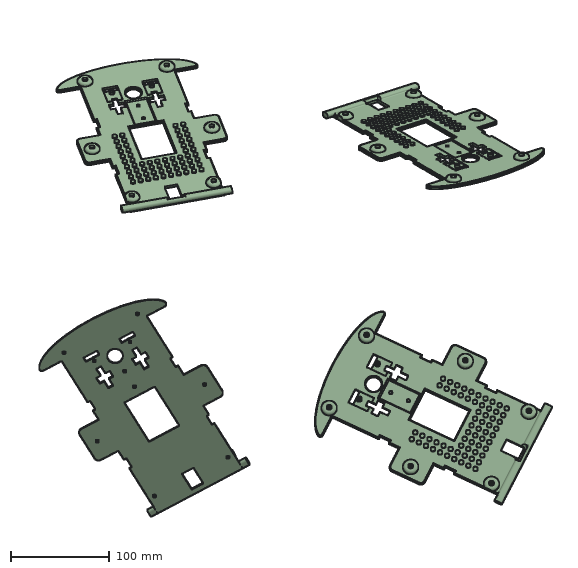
import cadquery as cq

LENGTH = 221.0
PLATE_THICKNESS = 3.0
TOTAL_HEIGHT = 6.0
PLATE_HALF_WIDTH = 50.0
EDGE_CHAMFER = 1.0

BUMPER_DEPTH = 24.8
BUMPER_HALF_WIDTH = 75.0
BUMPER_TIP_RADIUS = 2.9

TAB_CENTER_X = 120.0
TAB_LENGTH = 39.8
TAB_SPAN = 150.0
TAB_CORNER_RADIUS = 4.9

NOTCH_CENTERS_X = (83.0, 157.0)
NOTCH_LENGTH = 11.0
NOTCH_DEPTH = 2.9

WINDOW_CENTER_X = 121.8
WINDOW_LENGTH = 50.2
WINDOW_WIDTH = 35.5
ROUND_HOLE_X = 47.0
ROUND_HOLE_DIAMETER = 16.0
REAR_WINDOW_CENTER_X = 204.5
REAR_WINDOW_LENGTH = 20.1
REAR_WINDOW_WIDTH = 13.5

SEAT_Y = 21.0
SEAT_WIDTH = 15.7
SEAT_START_X = 32.7
SEAT_END_X = 54.1
SEAT_RECESS = 1.0
SLOT_LENGTH = 5.0
POST_X = 41.0
POST_DIAMETER = 5.3
POST_HOLE_DIAMETER = 2.9
CROSS_CENTER_X = 62.3
CROSS_LENGTH = 24.8
CROSS_BAR_WIDTH = 5.5
CROSS_UPRIGHT_LENGTH = 7.3

TRAY_CENTER_X = 76.5
TRAY_FLOOR_LENGTH = 34.7
TRAY_FLOOR_WIDTH = 21.5
TRAY_RIM_LENGTH = 38.2
TRAY_RIM_WIDTH = 23.5
TRAY_DEPTH = 1.0
TRAY_HOLES_X = (66.5, 86.5)
TRAY_HOLE_DIAMETER = 3.3

BOSS_DIAMETER = 16.0
BOSS_HOLE_DIAMETER = 3.3
BOSS_SINK_DIAMETER = 5.3
BOSS_SINK_DEPTH = 2.2
FRONT_BOSS_X = 18.0
REAR_BOSS_X = 201.8
END_BOSS_Y = 43.0
TAB_BOSS_Y = 63.0

PEG_DIAMETER = 4.9
PEG_HEIGHT = 1.44
PEG_TOP = PLATE_THICKNESS + PEG_HEIGHT
PEG_START_X = 108.0
PEG_COUNT = 10
PEG_FIELD_SPAN = 72.0
PEG_PITCH = PEG_FIELD_SPAN / (PEG_COUNT - 1)
PEG_FULL_ROWS_PER_SIDE = 2
PEG_FIRST_REAR_COLUMN = 6

ROD_LENGTH = 115.5
ROD_RADIUS = TOTAL_HEIGHT / 2
ROD_FLAT = 2.9
ROD_START_X = LENGTH - ROD_FLAT - 2 * ROD_RADIUS
ROD_FILLET = 1.3
ROD_RECESS_WIDTH = 18.5
ROD_RECESS_END_X = 217.2
PLATE_END_X = 220.1


def block(x_min, x_max, width, z_min, z_max, y_center=0.0):
    """Axis-aligned box given by its X and Z limits and its width about y_center."""
    return cq.Workplane("XY").box(
        x_max - x_min, width, z_max - z_min, centered=(False, True, False)
    ).translate((x_min, y_center, z_min))


def cylinder(x, y, diameter, z_min, z_max):
    return cq.Workplane("XY", origin=(x, y, z_min)).circle(diameter / 2).extrude(z_max - z_min)


def mirrored(y):
    return (-y, y)


def make_blank():
    """Plate outline with bumper, side tabs and edge notches, before any chamfer."""
    bumper = (
        cq.Workplane("XY", origin=(BUMPER_DEPTH, 0, 0))
        .ellipse(BUMPER_DEPTH, BUMPER_HALF_WIDTH)
        .extrude(PLATE_THICKNESS)
        .intersect(block(0, BUMPER_DEPTH, 2 * BUMPER_HALF_WIDTH, 0, PLATE_THICKNESS))
        .edges("|Z and >X")
        .fillet(BUMPER_TIP_RADIUS)
    )
    tab_start = TAB_CENTER_X - TAB_LENGTH / 2
    tabs = (
        block(tab_start, tab_start + TAB_LENGTH, TAB_SPAN, 0, PLATE_THICKNESS)
        .edges("|Z")
        .fillet(TAB_CORNER_RADIUS)
    )
    body_start = BUMPER_DEPTH / 2
    body = block(body_start, PLATE_END_X, 2 * PLATE_HALF_WIDTH, 0, PLATE_THICKNESS)
    blank = bumper.union(body).union(tabs)
    for x in NOTCH_CENTERS_X:
        for y in mirrored(PLATE_HALF_WIDTH):
            start = x - NOTCH_LENGTH / 2
            blank = blank.cut(
                block(start, start + NOTCH_LENGTH, 2 * NOTCH_DEPTH, 0, PLATE_THICKNESS, y)
            )
    return blank


def cut_chamfered_openings(plate):
    """Main window and round hole, then the chamfer along every top edge."""
    start = WINDOW_CENTER_X - WINDOW_LENGTH / 2
    plate = plate.cut(block(start, start + WINDOW_LENGTH, WINDOW_WIDTH, 0, PLATE_THICKNESS))
    plate = plate.cut(cylinder(ROUND_HOLE_X, 0, ROUND_HOLE_DIAMETER, 0, PLATE_THICKNESS))
    return plate.faces(">Z").edges().chamfer(EDGE_CHAMFER)


def add_rod(plate):
    """Flattened rod across the rear end, recessed in the middle and filleted onto the plate."""
    rod = (
        cq.Workplane("XZ", origin=(0, ROD_LENGTH / 2, 0))
        .moveTo(ROD_START_X + ROD_RADIUS, 0)
        .hLine(ROD_FLAT)
        .threePointArc((LENGTH, ROD_RADIUS), (LENGTH - ROD_RADIUS, TOTAL_HEIGHT))
        .hLine(-ROD_FLAT)
        .threePointArc((ROD_START_X, ROD_RADIUS), (ROD_START_X + ROD_RADIUS, 0))
        .close()
        .extrude(ROD_LENGTH)
    )
    recess = block(ROD_START_X, ROD_RECESS_END_X, ROD_RECESS_WIDTH, PLATE_THICKNESS, TOTAL_HEIGHT)
    joined = plate.union(rod.cut(recess))
    tolerance = 0.02
    seam = cq.selectors.BoxSelector(
        (ROD_START_X - tolerance, -PLATE_HALF_WIDTH, PLATE_THICKNESS - tolerance),
        (ROD_RECESS_END_X + tolerance, PLATE_HALF_WIDTH, PLATE_THICKNESS + tolerance),
    )
    return joined.edges(seam).fillet(ROD_FILLET)


def cut_rear_window(plate):
    start = REAR_WINDOW_CENTER_X - REAR_WINDOW_LENGTH / 2
    return plate.cut(block(start, start + REAR_WINDOW_LENGTH, REAR_WINDOW_WIDTH, 0, PLATE_THICKNESS))


def add_sensor_seat(plate, y):
    floor = PLATE_THICKNESS - SEAT_RECESS
    slot_end = SEAT_START_X + SLOT_LENGTH
    bar_start = CROSS_CENTER_X - CROSS_LENGTH / 2
    upright_start = CROSS_CENTER_X - CROSS_UPRIGHT_LENGTH / 2
    plate = plate.cut(block(SEAT_START_X, SEAT_END_X, SEAT_WIDTH, floor, PLATE_THICKNESS, y))
    plate = plate.cut(block(SEAT_START_X, slot_end, SEAT_WIDTH, 0, PLATE_THICKNESS, y))
    plate = plate.cut(
        block(bar_start, bar_start + CROSS_LENGTH, CROSS_BAR_WIDTH, 0, PLATE_THICKNESS, y)
    )
    plate = plate.cut(
        block(upright_start, upright_start + CROSS_UPRIGHT_LENGTH, SEAT_WIDTH, 0, PLATE_THICKNESS, y)
    )
    plate = plate.union(cylinder(POST_X, y, POST_DIAMETER, 0, PEG_TOP))
    return plate.cut(cylinder(POST_X, y, POST_HOLE_DIAMETER, 0, PEG_TOP))


def cut_board_tray(plate):
    tray = (
        cq.Workplane("XY", origin=(TRAY_CENTER_X, 0, PLATE_THICKNESS - TRAY_DEPTH))
        .rect(TRAY_FLOOR_LENGTH, TRAY_FLOOR_WIDTH)
        .workplane(offset=TRAY_DEPTH)
        .rect(TRAY_RIM_LENGTH, TRAY_RIM_WIDTH)
        .loft(ruled=True)
    )
    plate = plate.cut(tray)
    for x in TRAY_HOLES_X:
        plate = plate.cut(cylinder(x, 0, TRAY_HOLE_DIAMETER, 0, PLATE_THICKNESS))
    return plate


def add_boss(plate, x, y, trimmed):
    """Domed boss with a countersunk hole, cut flush with the long edges when trimmed."""
    dome_radius = TOTAL_HEIGHT - PLATE_THICKNESS
    boss = (
        cylinder(x, y, BOSS_DIAMETER, 0, TOTAL_HEIGHT)
        .faces(">Z")
        .edges()
        .fillet(dome_radius)
    )
    if trimmed:
        boss = boss.intersect(block(0, LENGTH, 2 * PLATE_HALF_WIDTH, 0, TOTAL_HEIGHT))
    plate = plate.union(boss)
    plate = plate.cut(cylinder(x, y, BOSS_HOLE_DIAMETER, 0, TOTAL_HEIGHT))
    sink = cq.Workplane(
        cq.Solid.makeCone(
            BOSS_HOLE_DIAMETER / 2,
            BOSS_SINK_DIAMETER / 2,
            BOSS_SINK_DEPTH,
            pnt=cq.Vector(x, y, TOTAL_HEIGHT - BOSS_SINK_DEPTH),
        )
    )
    return plate.cut(sink)


def peg_positions():
    for row in range(PEG_COUNT):
        full_row = min(row, PEG_COUNT - 1 - row) < PEG_FULL_ROWS_PER_SIDE
        first_column = 0 if full_row else PEG_FIRST_REAR_COLUMN
        y = row * PEG_PITCH - PEG_FIELD_SPAN / 2
        for column in range(first_column, PEG_COUNT):
            yield PEG_START_X + column * PEG_PITCH, y


def add_pegs(plate):
    pegs = (
        cq.Workplane("XY", origin=(0, 0, PLATE_THICKNESS / 2))
        .pushPoints(list(peg_positions()))
        .circle(PEG_DIAMETER / 2)
        .extrude(PEG_TOP - PLATE_THICKNESS / 2)
    )
    return plate.union(pegs)


plate = cut_chamfered_openings(make_blank())
plate = add_rod(plate)
plate = cut_rear_window(plate)
plate = cut_board_tray(plate)
for seat_y in mirrored(SEAT_Y):
    plate = add_sensor_seat(plate, seat_y)
for boss_x, boss_distance, boss_trimmed in (
    (FRONT_BOSS_X, END_BOSS_Y, False),
    (TAB_CENTER_X, TAB_BOSS_Y, False),
    (REAR_BOSS_X, END_BOSS_Y, True),
):
    for boss_y in mirrored(boss_distance):
        plate = add_boss(plate, boss_x, boss_y, boss_trimmed)
result = add_pegs(plate)